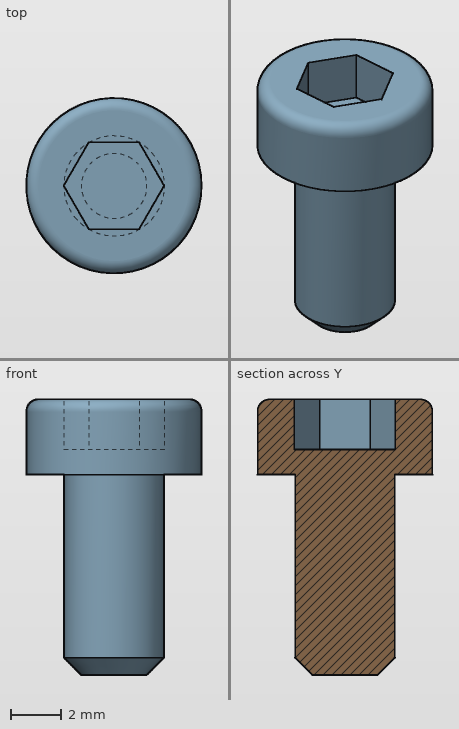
import cadquery as cq

total_length = 11.0
head_diameter = 7.0
head_height = 3.0
head_edge_radius = 0.5
shank_diameter = 4.0
tip_chamfer = 0.7

socket_corner_width = 4.0
socket_depth = 2.0

shank_length = total_length - head_height


def make_shank():
    """Plain shank from Z = 0 upward, with a chamfered tip."""
    shank = cq.Workplane("XY").circle(shank_diameter / 2).extrude(shank_length)
    return shank.faces("<Z").edges().chamfer(tip_chamfer)


def make_head():
    """Cylindrical head with a rounded top edge."""
    head = cq.Workplane("XY").workplane(offset=shank_length)
    head = head.circle(head_diameter / 2).extrude(head_height)
    return head.faces(">Z").edges().fillet(head_edge_radius)


def make_socket():
    """Flat-bottomed hexagonal volume to remove from the top of the head."""
    socket = cq.Workplane("XY").workplane(offset=total_length)
    return socket.polygon(6, socket_corner_width).extrude(-socket_depth)


result = make_shank().union(make_head()).cut(make_socket())